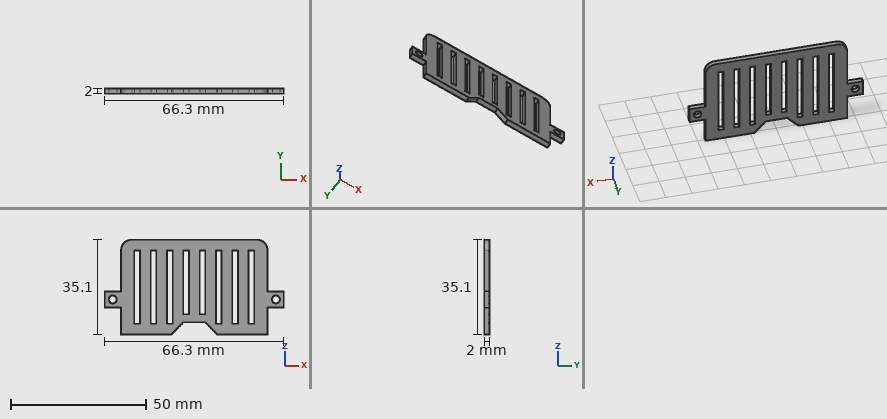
import cadquery as cq

overall_width = 66.3
thickness = 2.0
height = 35.15
corner_radius = 4.0

ear_length = 6.05
ear_height = 6.05
ear_center_z = 13.0
hole_diameter = 2.85
hole_inset = 3.0
body_width = overall_width - 2 * ear_length

notch_bottom_width = 17.0
notch_top_width = 8.2
notch_depth = 4.5

slot_count = 8
slot_width = 2.0
slot_pitch = 6.05
slot_margin = 4.05
slot_top_z = height - slot_margin
slot_bottom_z = slot_margin
short_slot_bottom_z = 7.55


def box(width, bottom_z, top_z, center_x=0.0):
    """Block through the plate thickness between two heights."""
    return (
        cq.Workplane("XY")
        .box(width, thickness, top_z - bottom_z, centered=(True, True, False))
        .translate((center_x, 0, bottom_z))
    )


def make_plate():
    body = box(body_width, 0, height).edges("|Y and >Z").fillet(corner_radius)
    ears = box(overall_width, ear_center_z - ear_height / 2, ear_center_z + ear_height / 2)
    return body.union(ears)


def make_notch():
    return (
        cq.Workplane("XZ")
        .polyline([
            (-notch_bottom_width / 2, 0),
            (-notch_top_width / 2, notch_depth),
            (notch_top_width / 2, notch_depth),
            (notch_bottom_width / 2, 0),
        ])
        .close()
        .extrude(thickness / 2, both=True)
    )


def make_ear_holes():
    hole_x = overall_width / 2 - hole_inset
    return (
        cq.Workplane("XZ")
        .pushPoints([(-hole_x, ear_center_z), (hole_x, ear_center_z)])
        .circle(hole_diameter / 2)
        .extrude(thickness / 2, both=True)
    )


result = make_plate().cut(make_notch()).cut(make_ear_holes())

for index in range(slot_count):
    slot_x = (index - (slot_count - 1) / 2) * slot_pitch
    above_notch = abs(slot_x) < notch_top_width / 2
    bottom_z = short_slot_bottom_z if above_notch else slot_bottom_z
    result = result.cut(box(slot_width, bottom_z, slot_top_z, slot_x))